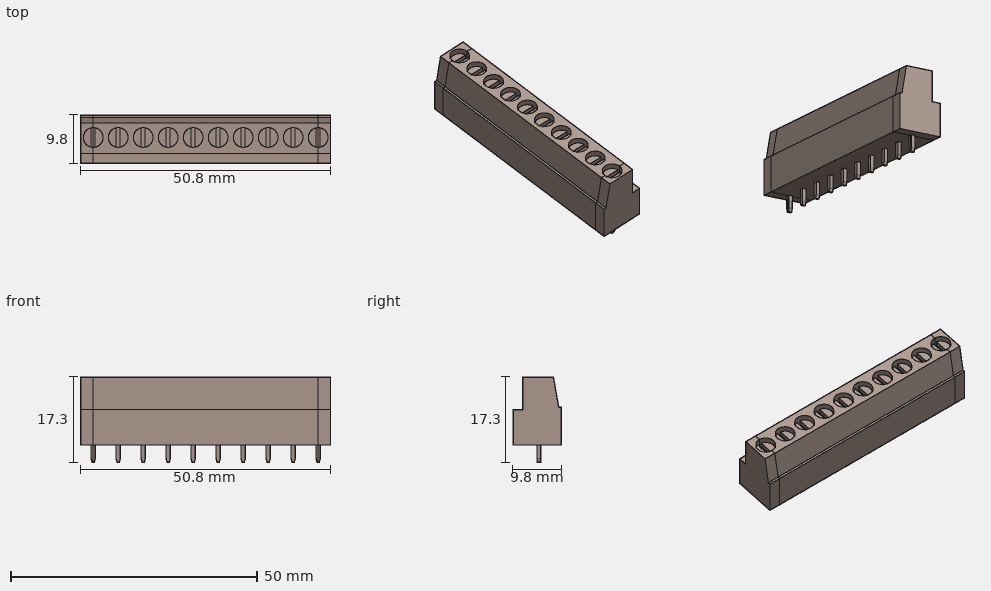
import cadquery as cq
import math


pole_count = 10
pitch = 5.08
block_length = pole_count * pitch
pole_positions = [(i - (pole_count - 1) / 2) * pitch for i in range(pole_count)]

block_depth = 9.8
front_y = -5.25
back_y = front_y + block_depth
housing_height = 13.8
front_step_depth = 1.95
front_step_height = housing_height - 6.6
back_ledge_depth = 0.5
back_ledge_height = housing_height - 6.1
back_slope_angle = 10
back_slope_depth = (housing_height - back_ledge_height) * math.tan(math.radians(back_slope_angle))

recess_diameter = 4.0
recess_depth = 1.3
slot_width = 0.8
slot_depth = 1.0

pin_width = 0.9
pin_thickness = 0.8
pin_length = 3.5
pin_tip_width = 0.5
pin_taper_length = 0.75


def make_housing():
    """Stepped cross-section, run along the whole row."""
    slope_foot_y = back_y - back_ledge_depth
    profile = [
        (front_y, 0),
        (back_y, 0),
        (back_y, back_ledge_height),
        (slope_foot_y, back_ledge_height),
        (slope_foot_y - back_slope_depth, housing_height),
        (front_y + front_step_depth, housing_height),
        (front_y + front_step_depth, front_step_height),
        (front_y, front_step_height),
    ]
    return cq.Workplane("YZ").polyline(profile).close().extrude(block_length / 2, both=True)


def make_screw_recess(x):
    """Cutter for a round recess with a slot across its floor."""
    recess_floor = housing_height - recess_depth
    radius = recess_diameter / 2
    recess = cq.Workplane("XY", origin=(x, 0, recess_floor)).circle(radius).extrude(recess_depth)
    slot_plane = cq.Workplane("XY", origin=(x, 0, recess_floor - slot_depth))
    slot = slot_plane.rect(slot_width, recess_diameter).extrude(slot_depth)
    slot = slot.intersect(slot_plane.circle(radius).extrude(slot_depth))
    return recess.union(slot)


def make_pin(x):
    """Flat pin below the housing, narrowed in X at its tip."""
    taper_top = pin_taper_length - pin_length
    outline = [
        (-pin_width / 2, 0),
        (-pin_width / 2, taper_top),
        (-pin_tip_width / 2, -pin_length),
        (pin_tip_width / 2, -pin_length),
        (pin_width / 2, taper_top),
        (pin_width / 2, 0),
    ]
    plane = cq.Workplane("XZ", origin=(x, 0, 0))
    return plane.polyline(outline).close().extrude(pin_thickness / 2, both=True)


def make_full_row():
    """Housing with a screw recess and a pin at every pole."""
    row = make_housing()
    for x in pole_positions:
        row = row.cut(make_screw_recess(x)).union(make_pin(x))
    return row


def take_section(row, x_start, x_end):
    """Part of the row between two planes across X."""
    total_height = housing_height + pin_length
    window = cq.Workplane("XY").box(x_end - x_start, block_depth, total_height, centered=False)
    return row.intersect(window.translate((x_start, front_y, -pin_length)))


full_row = make_full_row()
first_pole = pole_positions[0]
last_pole = pole_positions[-1]
left_end = take_section(full_row, -block_length / 2, first_pole)
middle_section = take_section(full_row, first_pole, last_pole)
right_end = take_section(full_row, last_pole, block_length / 2)

result = cq.Compound.makeCompound([left_end.val(), middle_section.val(), right_end.val()])